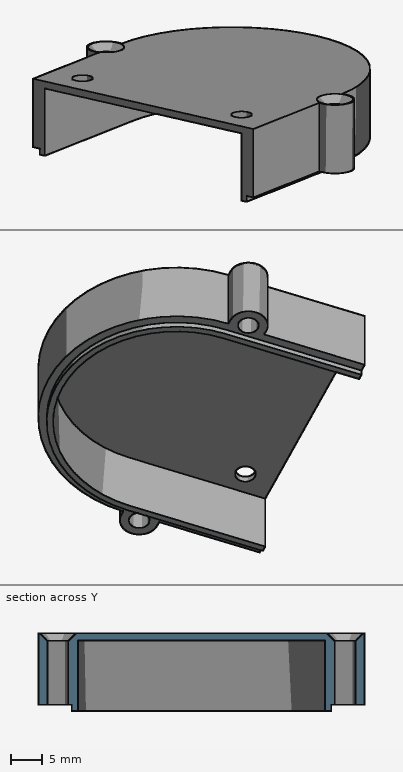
import cadquery as cq

total_height = 12.5
outer_radius = 22.15
straight_length = 23.5
roof_thickness = 1.2

lip_height = 1.0
lip_radius = 20.78
cavity_radius = 19.75

boss_radius = 3.1
boss_offset = 23.0
boss_y = -3.0
screw_diameter = 3.3
countersink_diameter = 5.8
countersink_depth = (countersink_diameter - screw_diameter) / 2

roof_hole_diameter = 3.3
roof_hole_offset = 16.0
roof_hole_y = -18.5

wall_height = total_height - lip_height
sides = (-1, 1)


def arch(radius, bottom, height):
    """Prism with a half-round end at +Y and straight sides down to the open end."""
    return (
        cq.Workplane("XY", origin=(0, 0, bottom))
        .moveTo(-radius, -straight_length)
        .lineTo(radius, -straight_length)
        .lineTo(radius, 0)
        .threePointArc((0, radius), (-radius, 0))
        .close()
        .extrude(height)
    )


def boss(side):
    """Round boss joined to the side wall by a block of the same width."""
    x = side * boss_offset
    bridge_length = boss_offset - lip_radius
    post = cq.Workplane("XY", origin=(x, boss_y, lip_height)).circle(boss_radius).extrude(wall_height)
    bridge = (
        cq.Workplane("XY", origin=(x - side * bridge_length / 2, boss_y, lip_height))
        .rect(bridge_length, 2 * boss_radius)
        .extrude(wall_height)
    )
    return post.union(bridge)


def screw_hole(side):
    """Through bore with a conical countersink at the top."""
    top = cq.Workplane("XY", origin=(side * boss_offset, boss_y, total_height))
    bore = top.circle(screw_diameter / 2).extrude(-total_height)
    countersink = (
        top.circle(countersink_diameter / 2)
        .workplane(offset=-countersink_depth)
        .circle(screw_diameter / 2)
        .loft()
    )
    return bore.union(countersink)


def roof_hole(side):
    """Plain round hole through the roof."""
    return (
        cq.Workplane("XY", origin=(side * roof_hole_offset, roof_hole_y, 0))
        .circle(roof_hole_diameter / 2)
        .extrude(total_height)
    )


result = arch(outer_radius, lip_height, wall_height)
result = result.union(arch(lip_radius, 0, lip_height))

for side in sides:
    result = result.union(boss(side))

result = result.cut(arch(cavity_radius, 0, total_height - roof_thickness))

for side in sides:
    result = result.cut(screw_hole(side))
    result = result.cut(roof_hole(side))